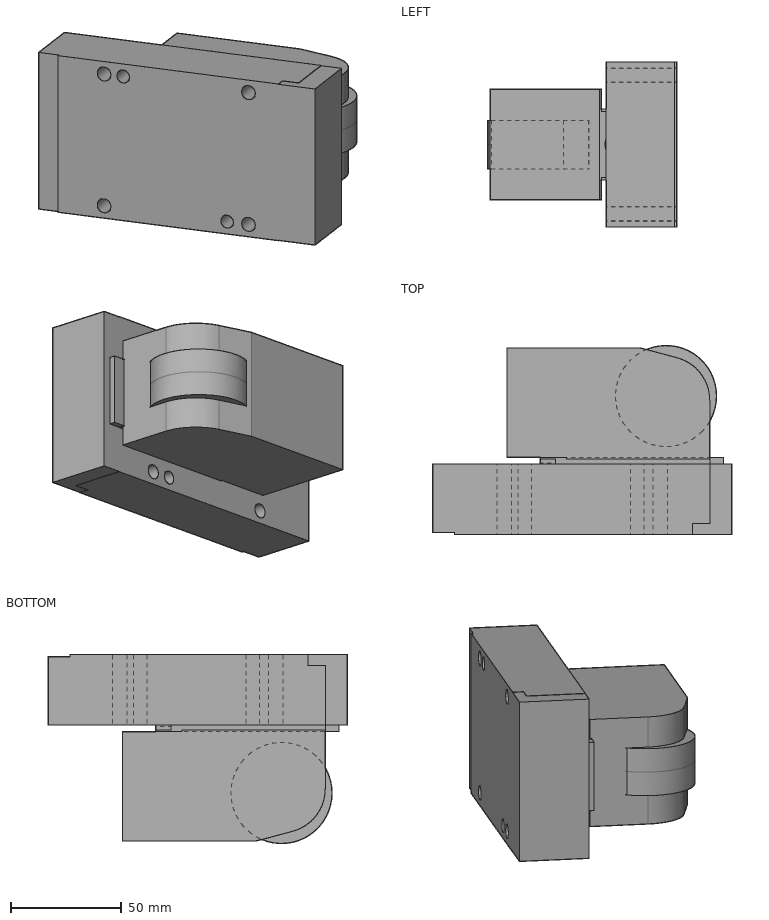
import cadquery as cq
import math


length = 136.0
base_height = 75.1
base_depth = 32.1
set_back_length = 9.9
set_back_depth = 1.0

low_end_start = 126.0
low_end_drop = 0.1
lip_length = 7.9
lip_back = 5.0

pad_start = 48.8
pad_end = 132.2
pad_height = 32.4
pad_back = 35.1
notch_length = 7.1
notch_inset = 1.2
relief_radius = 6.8
relief_rise = 0.5

head_start = 33.7
head_end = low_end_start
head_back = 84.9
head_height = 50.3
skirt_start = 60.8
skirt_drop = 0.8
slope_start = 94.2
slope_angle = 15.0
corner_radius = 20.0

wheel_x = 106.1
wheel_back = 86.0
wheel_radius = 23.0
wheel_width = 22.0

bolt_diameter = 6.7
pin_diameter = 6.1
hole_z = 31.5
left_bolt_x = 32.5
right_bolt_x = 103.4
upper_pin_x = 41.9
lower_pin_x = 92.9

lip_start = low_end_start - lip_length
skirt_front = pad_back - skirt_drop
slope_end_y = head_back - (head_end - slope_start) * math.tan(math.radians(slope_angle))
wheel_y = wheel_back - wheel_radius
bolt_points = [(x, z) for x in (left_bolt_x, right_bolt_x) for z in (-hole_z, hole_z)]
pin_points = [(upper_pin_x, hole_z), (lower_pin_x, -hole_z)]


def block(x_range, y_range, height, z_middle=0):
    """Box between two X and two Y places, with its height centred on z_middle."""
    size_x = x_range[1] - x_range[0]
    size_y = y_range[1] - y_range[0]
    box = cq.Workplane("XY").box(size_x, size_y, height, centered=(False, False, True))
    return box.translate((x_range[0], y_range[0], z_middle))


def through_holes(diameter, points):
    """Cylinders along Y that pass through the full depth of the base."""
    return cq.Workplane("XZ").pushPoints(points).circle(diameter / 2).extrude(-base_depth)


def make_base_pad():
    """Pad with its lower right end, two corner notches and the arched relief."""
    pad = block((pad_start, low_end_start), (base_depth, pad_back), pad_height)
    low_pad_height = pad_height - 2 * low_end_drop
    pad = pad.union(block((low_end_start, pad_end), (base_depth, pad_back), low_pad_height))
    for side in (-1, 1):
        notch_z = side * (pad_height - notch_inset) / 2
        notch = block(
            (pad_start, pad_start + notch_length), (base_depth, skirt_front), notch_inset, notch_z
        )
        pad = pad.cut(notch)
    relief_y = base_depth + relief_rise - relief_radius
    relief = (
        cq.Workplane("YZ", origin=(pad_start, relief_y, 0)).circle(relief_radius).extrude(notch_length)
    )
    return pad.cut(relief)


def lower_right_end(body):
    """Skim the L-shaped right end of the base on both of its Z sides."""
    for side in (-1, 1):
        skim_z = side * (base_height - low_end_drop) / 2
        body = body.cut(block((low_end_start, length), (0, base_depth), low_end_drop, skim_z))
        body = body.cut(block((lip_start, low_end_start), (0, lip_back), low_end_drop, skim_z))
    return body


def make_base():
    body = block((0, length), (0, base_depth), base_height)
    body = body.cut(block((0, set_back_length), (0, set_back_depth), base_height))
    body = lower_right_end(body)
    body = body.cut(through_holes(bolt_diameter, bolt_points))
    body = body.cut(through_holes(pin_diameter, pin_points))
    return body.union(make_base_pad())


def make_wheel():
    wheel = cq.Workplane("XY").center(wheel_x, wheel_y).circle(wheel_radius)
    return wheel.extrude(wheel_width / 2, both=True)


def make_head(wheel):
    """Head with a groove that fits over the pad and a pocket that fits the wheel."""
    outline = [
        (head_start, pad_back),
        (head_start, head_back),
        (slope_start, head_back),
        (head_end, slope_end_y),
        (head_end, skirt_front),
        (skirt_start, skirt_front),
        (skirt_start, pad_back),
    ]
    body = cq.Workplane("XY").polyline(outline).close().extrude(head_height / 2, both=True)
    corner = cq.selectors.NearestToPointSelector((head_end, slope_end_y, 0))
    body = body.edges("|Z").edges(corner).fillet(corner_radius)
    pad_groove = block((skirt_start, head_end), (skirt_front, pad_back), pad_height)
    return body.cut(pad_groove).cut(wheel)


base = make_base()
wheel = make_wheel()
head = make_head(wheel)

bodies = [base, head, wheel]
result = cq.Compound.makeCompound([body.solids().val() for body in bodies])